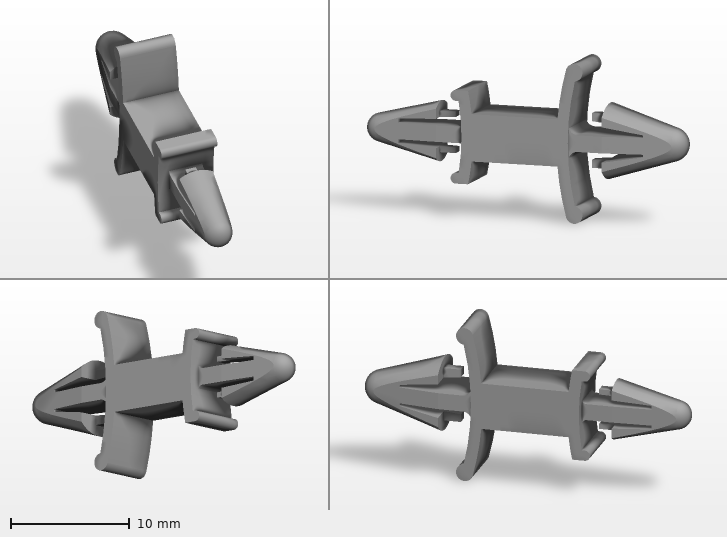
import cadquery as cq
import math

length = 28.6
width = 5.0
height = 13.7
body_half_height = 2.03

collar_face_x = 9.95
collar_face_radius = 22.88
collar_thickness = 1.0
bead_radius = 0.75
bead_z = height / 2 - bead_radius

clip_face_x = 19.42
clip_face_radius = 18.6
clip_thickness = 1.0
clip_half_height = 4.0
lip_radius = 0.45
lip_x = 19.93
lip_z = clip_half_height - lip_radius

stem_half_height = 0.72
tab_width = 0.95
stem_overlap = 0.3


def extrude_across(profile, depth):
    """Extrude an XZ profile symmetrically about Y = 0."""
    return profile.extrude(depth / 2, both=True)


def box_between(x_min, x_max, y_size, z_min, z_max):
    return cq.Workplane("XY").box(x_max - x_min, y_size, z_max - z_min).translate(
        ((x_min + x_max) / 2, 0, (z_min + z_max) / 2)
    )


def both_halves(upper):
    """Join a feature above Z = 0 with its mirror image below."""
    return upper.union(upper.mirror("XY"))


def arc_x(apex_x, radius, bulge, z):
    """X at height z on an arc about Z = 0; bulge is +1 or -1, the side its apex points to."""
    return apex_x - bulge * (radius - math.sqrt(radius**2 - z**2))


def curved_wall(face_x, face_radius, thickness, bulge, face_z, back_z):
    """Wall between two concentric arcs; face_z and back_z are the arcs' half heights."""
    back_x = face_x + bulge * thickness
    face_end_x = arc_x(face_x, face_radius, bulge, face_z)
    back_end_x = arc_x(back_x, face_radius + thickness, bulge, back_z)
    profile = (
        cq.Workplane("XZ")
        .moveTo(face_end_x, -face_z)
        .threePointArc((face_x, 0), (face_end_x, face_z))
        .lineTo(back_end_x, back_z)
        .threePointArc((back_x, 0), (back_end_x, -back_z))
        .close()
    )
    return extrude_across(profile, width)


def round_bar(x, z, radius):
    return extrude_across(cq.Workplane("XZ").center(x, z).circle(radius), width)


def make_collar():
    back_radius = collar_face_radius + collar_thickness
    bead_path_radius = back_radius - bead_radius
    bead_path_apex_x = collar_face_x + collar_thickness - bead_radius
    bead_x = arc_x(bead_path_apex_x, bead_path_radius, 1, bead_z)
    tangent_z = bead_z * back_radius / bead_path_radius
    wall = curved_wall(
        collar_face_x, collar_face_radius, collar_thickness, 1, bead_z, tangent_z
    )
    return wall.union(both_halves(round_bar(bead_x, bead_z, bead_radius)))


def make_clip():
    lip_bottom = lip_z - lip_radius
    wall = curved_wall(
        clip_face_x, clip_face_radius, clip_thickness, -1, lip_bottom, clip_half_height
    )
    back_x = clip_face_x - clip_thickness
    back_radius = clip_face_radius + clip_thickness
    lip_profile = (
        cq.Workplane("XZ")
        .moveTo(arc_x(back_x, back_radius, -1, clip_half_height), clip_half_height)
        .lineTo(lip_x, clip_half_height)
        .threePointArc((lip_x + lip_radius, lip_z), (lip_x, lip_bottom))
        .lineTo(arc_x(clip_face_x, clip_face_radius, -1, lip_bottom), lip_bottom)
        .close()
    )
    return wall.union(both_halves(extrude_across(lip_profile, width)))


def make_plug(
    nose_length, nose_radius, head_length, head_radius, stem_length, stem_width, flare,
    slot_start, slot_start_z, slot_end_z, tab_length, tab_bottom, tab_top,
):
    """Split arrowhead plug with its tip at X = 0, pointing toward -X."""
    nose_sphere_radius = (nose_length**2 + nose_radius**2) / (2 * nose_length)
    nose_mid_x = nose_length / 2
    nose_mid_z = math.sqrt(nose_sphere_radius**2 - (nose_sphere_radius - nose_mid_x) ** 2)

    head = (
        cq.Workplane("XZ")
        .moveTo(0, 0)
        .threePointArc((nose_mid_x, nose_mid_z), (nose_length, nose_radius))
        .lineTo(head_length, head_radius)
        .lineTo(head_length, 0)
        .close()
        .revolve(360, (0, 0), (1, 0))
    )

    flats = (
        cq.Workplane("XY")
        .polyline([
            (0, -nose_radius), (nose_length, -nose_radius), (head_length, -stem_width / 2),
            (head_length, stem_width / 2), (nose_length, nose_radius), (0, nose_radius),
        ])
        .close()
        .extrude(head_radius, both=True)
    )
    head = head.intersect(flats)

    slot_profile = (
        cq.Workplane("XZ")
        .polyline([
            (slot_start, stem_half_height), (slot_start, slot_start_z),
            (head_length, slot_end_z), (head_length, stem_half_height),
        ])
        .close()
    )
    head = head.cut(both_halves(extrude_across(slot_profile, 2 * head_radius)))

    tab_profile = (
        cq.Workplane("XZ")
        .polyline([
            (head_length, slot_end_z), (head_length + tab_length, tab_bottom),
            (head_length + tab_length, tab_top), (head_length, tab_top),
        ])
        .close()
    )
    tabs = both_halves(extrude_across(tab_profile, tab_width))

    flare_x = stem_length - flare
    flare_z = stem_half_height + flare
    arc_offset = flare * math.sqrt(0.5)
    stem_profile = (
        cq.Workplane("XZ")
        .moveTo(head_length, -stem_half_height)
        .lineTo(flare_x, -stem_half_height)
        .threePointArc((flare_x + arc_offset, arc_offset - flare_z), (stem_length, -flare_z))
        .lineTo(stem_length + stem_overlap, -flare_z)
        .lineTo(stem_length + stem_overlap, flare_z)
        .lineTo(stem_length, flare_z)
        .threePointArc((flare_x + arc_offset, flare_z - arc_offset), (flare_x, stem_half_height))
        .lineTo(head_length, stem_half_height)
        .close()
    )
    stem = extrude_across(stem_profile, stem_width)
    return head.union(tabs).union(stem)


large_plug = make_plug(
    nose_length=1.1, nose_radius=1.43, head_length=7.0, head_radius=3.25,
    stem_length=collar_face_x, stem_width=4.58, flare=0.8,
    slot_start=3.5, slot_start_z=0.95, slot_end_z=1.52,
    tab_length=1.5, tab_bottom=1.65, tab_top=2.35,
)
small_plug = make_plug(
    nose_length=1.0, nose_radius=1.23, head_length=6.58, head_radius=2.6,
    stem_length=length - clip_face_x, stem_width=3.0, flare=0.4,
    slot_start=3.15, slot_start_z=1.05, slot_end_z=1.25,
    tab_length=1.4, tab_bottom=1.32, tab_top=1.77,
)
small_plug = small_plug.mirror("YZ").translate((length, 0, 0))

body = box_between(
    collar_face_x + collar_thickness / 2, clip_face_x - clip_thickness / 2,
    width, -body_half_height, body_half_height,
)

result = body.union(make_collar()).union(make_clip()).union(large_plug).union(small_plug)